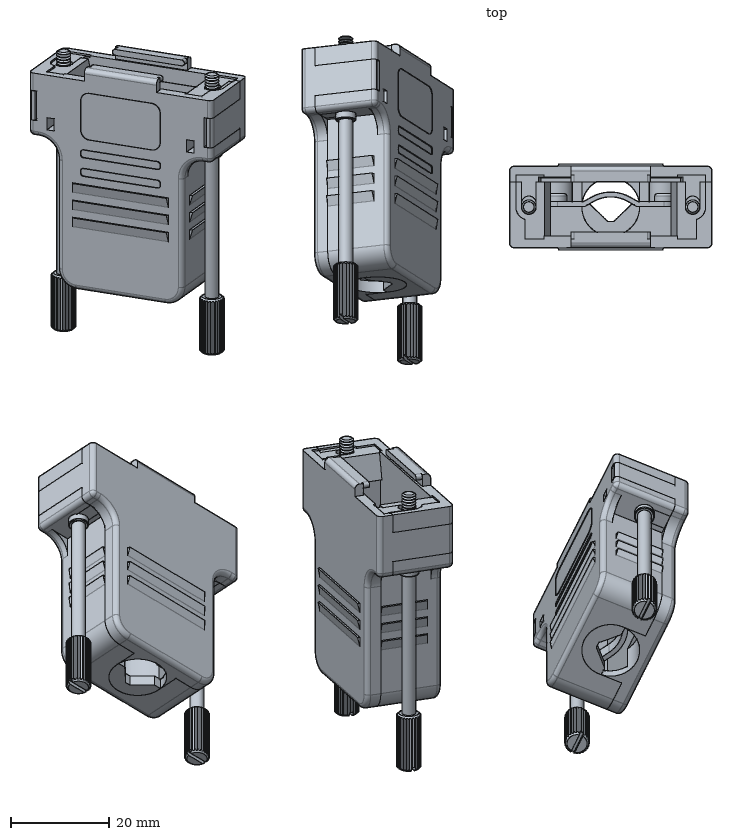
import cadquery as cq
import math


flange_width = 41.2
flange_half_width = flange_width / 2
body_width = 28.15
body_half_width = body_width / 2
half_depth = 8.35
flange_bottom = 31.85
mating_face = 45.4
bottom_corner_radius = 4.0
flange_corner_radius = 1.1
shoulder_radius = 4.4
edge_radius = 1.0

parting_y = 5.1
tab_bottom = 35.2
tab_top = 41.6
tab_thickness = 1.3
tab_front_y = -8.2
tab_relief = 0.5
tab_relief_depth = 1.2

wall_y = 5.95
side_wall = 1.0
floor_top = 2.4
mouth_half_width = 13.6
throat_half_width = 12.25
throat_z = 39.6
cover_ledge_z = 40.3
cover_step_z = 42.3
cover_step_depth = 0.1
cover_mouth_half_width = 14.75
cover_mouth_taper = 0.6

seat_depth = 0.35
seat_back_y = 6.55
seat_front_y = -6.5
seat_notch_x = 17.45
seat_screw_radius = 2.65

lip_top = 48
lip_half_width = 8.1
lip_inner_y = 6.5
hook_height = 1.25

label_half_width = 8.95
label_bottom = 32.8
label_top = 42.9
label_radius = 1.9
label_depth = 0.1
groove_height = 1.7
groove_radius = 0.6
groove_centers = (29.65, 25.6)
groove_depth = 0.25
window_width = 1.6
window_height = 2.65
window_x = 15.7
window_z = 34.9

rib_pitch = 3.7
rib_height = 2.05
rib_tops = [23.05 - rib_pitch * row for row in range(3)]
face_rib_half_length = 10.8
face_rib_rise = 0.45
side_rib_rise = 0.6
side_rib_front_y = -5.15
rib_end_slant = 0.25

jackscrew_x = 16.7
shaft_radius = 1.45
collar_radius = 2.05
collar_bottom = 30.4
collar_chamfer = 0.2
thread_core_radius = 1.1
thread_pitch = 0.6
thread_turns = 7
thread_length = thread_turns * thread_pitch
knob_radius = 2.5
knob_length = 12
knob_chamfer = 0.5
flute_count = 24
flute_radius = 0.2
driver_slot_width = 0.8
driver_slot_depth = 0.9
jackscrew_slot_radius = 1.5
jackscrew_slot_gap = 0.7

cable_radius = 5.9
clamp_y = 0.05
pedestal_top = 10.2
saddle_top_y = 0.55
notch_half_width = 4.2
notch_bottom_half_width = 0.6
notch_bottom_y = -2.95
strap_thickness = 1.0
strap_width = 3.85
strap_z = 8.1
arch_outer_radius = 8.0
arch_half_width = 3.9
arch_top_y = 3.05
clamp_screw_x = 10.85
head_radius = 1.9
head_height = 1.6
head_edge_radius = 0.5
clamp_thread_radius = 1.0
clamp_thread_length = 3.6
post_radius = 3.05
post_z = 3

SIDES = (-1, 1)


def block(x0, x1, y0, y1, z0, z1):
    """Box between two opposite corners."""
    box = cq.Workplane("XY").box(x1 - x0, y1 - y0, z1 - z0, centered=False)
    return box.translate((x0, y0, z0))


def prism_y(outline, y0, y1):
    """Extrude an XZ outline from y0 to y1."""
    return outline.extrude(-(y1 - y0)).translate((0, y0, 0))


def cylinder_y(x, z, radius, y0, y1):
    return prism_y(cq.Workplane("XZ").center(x, z).circle(radius), y0, y1)


def both_sides(shape):
    """A shape together with its mirror image across X = 0."""
    return shape.union(shape.mirror("YZ"))


def outer_block():
    """Solid T-shaped housing with rounded shoulders and face edges."""
    w = body_half_width
    f = flange_half_width
    shoulder_x = w + shoulder_radius
    shoulder_z = flange_bottom - shoulder_radius
    mid = shoulder_radius * math.sqrt(0.5)
    half = (
        cq.Workplane("XZ")
        .moveTo(0, 0)
        .lineTo(w - bottom_corner_radius, 0)
        .radiusArc((w, bottom_corner_radius), -bottom_corner_radius)
        .lineTo(w, shoulder_z)
        .threePointArc((shoulder_x - mid, shoulder_z + mid), (shoulder_x, flange_bottom))
        .lineTo(f - flange_corner_radius, flange_bottom)
        .radiusArc((f, flange_bottom + flange_corner_radius), -flange_corner_radius)
        .lineTo(f, mating_face)
        .lineTo(0, mating_face)
        .close()
    )
    solid = both_sides(prism_y(half, -half_depth, half_depth)).clean()
    return solid.faces("<Y or >Y").edges("not >Z").fillet(edge_radius)


def shoulder_clearance():
    """Space under the flange where the rounded shoulders are left out beside the jackscrews."""
    return both_sides(
        block(body_half_width, flange_half_width, -wall_y, parting_y, 0, flange_bottom)
    )


def cavity():
    """Tapered mouth, wider in the cover and stepped in its wall, over a straight-sided chamber."""
    mouth = (
        cq.Workplane("XZ")
        .polyline([
            (-throat_half_width, throat_z),
            (throat_half_width, throat_z),
            (mouth_half_width, mating_face),
            (-mouth_half_width, mating_face),
        ])
        .close()
    )
    mouth = prism_y(mouth, -wall_y, wall_y + cover_step_depth)
    cover_throat_x = cover_mouth_half_width - cover_mouth_taper
    cover_mouth = (
        cq.Workplane("XZ")
        .polyline([
            (-cover_throat_x, cover_ledge_z),
            (cover_throat_x, cover_ledge_z),
            (cover_mouth_half_width, mating_face),
            (-cover_mouth_half_width, mating_face),
        ])
        .close()
    )
    cover_mouth = prism_y(cover_mouth, parting_y, wall_y + cover_step_depth)
    below_ledge = block(
        -flange_half_width, flange_half_width, parting_y, half_depth, floor_top, cover_ledge_z
    )
    below_step = block(
        -flange_half_width, flange_half_width, wall_y, half_depth, floor_top, cover_step_z
    )
    x = body_half_width - side_wall
    chamber = block(-x, x, -wall_y, parting_y, floor_top, throat_z)
    return mouth.cut(below_ledge).union(cover_mouth).cut(below_step).union(chamber)


def clamp_pedestal():
    """Raised floor that carries the clamp, with a round post beyond the strap on each side."""
    x = body_half_width - side_wall
    pedestal = block(-x, x, -wall_y, clamp_y, floor_top, pedestal_top)
    post = cylinder_y(clamp_screw_x, post_z, post_radius, clamp_y, parting_y)
    inside = block(0, x, clamp_y, parting_y, floor_top, pedestal_top)
    return pedestal.union(both_sides(post.intersect(inside)))


def cable_outlet():
    return cq.Workplane("XY").circle(cable_radius).extrude(pedestal_top)


def flange_seat():
    """Shallow seat in the mating face, rounded around each jackscrew."""
    left = -jackscrew_x - seat_screw_radius
    seat = block(-seat_notch_x, 0, seat_front_y, seat_back_y, 0, seat_depth)
    seat = seat.union(block(left, 0, 0, seat_back_y, 0, seat_depth))
    around_screw = cq.Workplane("XY").center(-jackscrew_x, 0).circle(seat_screw_radius).extrude(seat_depth)
    seat = seat.union(around_screw)
    walls = block(
        -mouth_half_width, 0, -half_depth, -wall_y, 0, seat_depth
    ).union(block(-mouth_half_width, 0, wall_y, half_depth, 0, seat_depth))
    return both_sides(seat.cut(walls).translate((0, 0, mating_face - seat_depth)))


def hooked_lip():
    """Lip on the -Y wall with a rounded outer edge and an inward hook with round ends."""
    x = lip_half_width
    wall = block(-x, x, -half_depth, -lip_inner_y, mating_face - seat_depth, lip_top)
    wall = wall.edges("<Y and >Z").fillet(edge_radius)
    hook_z = lip_top - hook_height / 2
    hook = cq.Workplane("XZ").center(0, hook_z).slot2D(2 * x, hook_height)
    hook = prism_y(hook, -lip_inner_y, -parting_y)
    return wall.union(hook)


def rib_wedge(rise, half_length, top):
    """Wedge on the plane Y = 0 that rises toward -Y, with slanted ends."""
    profile = cq.Workplane("YZ").polyline([(0, top), (-rise, top), (0, top - rib_height)]).close()
    wedge = profile.extrude(half_length, both=True)
    outline = (
        cq.Workplane("XY")
        .polyline([
            (-half_length, 0),
            (half_length, 0),
            (half_length - rib_end_slant, -rise),
            (-half_length + rib_end_slant, -rise),
        ])
        .close()
        .extrude(mating_face)
    )
    return wedge.intersect(outline)


def grip_ribs():
    """Three ribs on each broad face and three on each narrow side of the base."""
    ribs = cq.Workplane("XY")
    side_length = parting_y - side_rib_front_y
    for top in rib_tops:
        front = rib_wedge(face_rib_rise, face_rib_half_length, top).translate((0, -half_depth, 0))
        side = rib_wedge(side_rib_rise, side_length, top).rotate((0, 0, 0), (0, 0, 1), -90)
        side = side.translate((-body_half_width, parting_y, 0))
        side = side.intersect(
            block(-flange_half_width, 0, -half_depth, parting_y, 0, mating_face)
        )
        ribs = ribs.union(front).union(front.mirror("XZ")).union(both_sides(side))
    return ribs


def face_recesses():
    """Label panel, two grooves and two windows cut into the -Y face."""
    def panel(z, height, radius, depth):
        plate = block(
            -label_half_width, label_half_width, -half_depth, -half_depth + depth,
            z - height / 2, z + height / 2,
        )
        return plate.edges("|Y").fillet(radius)

    cuts = panel((label_bottom + label_top) / 2, label_top - label_bottom, label_radius, label_depth)
    for z in groove_centers:
        cuts = cuts.union(panel(z, groove_height, groove_radius, groove_depth))
    window = block(
        window_x - window_width / 2, window_x + window_width / 2, -half_depth, 0,
        window_z - window_height / 2, window_z + window_height / 2,
    )
    return cuts.union(both_sides(window))


def jackscrew_slots():
    """U-shaped slots that open toward +Y and receive the jackscrews."""
    r = jackscrew_slot_radius
    slot = block(jackscrew_x - r, jackscrew_x + r, 0, parting_y, flange_bottom, mating_face)
    end = cq.Workplane("XY", origin=(jackscrew_x, 0, flange_bottom)).circle(r)
    return both_sides(slot.union(end.extrude(mating_face - flange_bottom)))


def thread_pockets():
    """Oblong openings that leave free space behind the threads."""
    r = jackscrew_slot_radius
    pocket = (
        cq.Workplane("XY", origin=(jackscrew_x, jackscrew_slot_gap / 2, lip_top - thread_length))
        .slot2D(2 * r + jackscrew_slot_gap, 2 * r, 90)
        .extrude(thread_length)
    )
    return both_sides(pocket)


def cover_tabs():
    """Latch tabs that wrap the narrow sides of the flange."""
    return both_sides(block(
        flange_half_width - tab_thickness, flange_half_width,
        -half_depth, parting_y, tab_bottom, tab_top,
    ))


def tab_end_reliefs():
    """Clearance in the base beside the free ends of the tabs."""
    inner_x = flange_half_width - tab_thickness
    return both_sides(block(
        inner_x - tab_relief, inner_x,
        -half_depth, -half_depth + tab_relief_depth, tab_bottom, tab_top,
    ))


def cover_space():
    """All the space that belongs to the cover: its slab, tabs, and tongues into the base."""
    slab = block(
        -flange_half_width, flange_half_width, parting_y, 2 * half_depth, 0, lip_top
    )
    outlet_tongue = block(-cable_radius, cable_radius, 0, parting_y, 0, floor_top)
    return slab.union(cover_tabs()).union(jackscrew_slots()).union(outlet_tongue)


def housing_shell():
    """Both housing halves in one piece, before they are parted."""
    lip = hooked_lip()
    return (
        outer_block()
        .cut(shoulder_clearance())
        .cut(cavity())
        .cut(flange_seat())
        .cut(thread_pockets())
        .cut(face_recesses())
        .union(clamp_pedestal())
        .union(lip)
        .union(lip.mirror("XZ"))
        .union(grip_ribs())
        .cut(cable_outlet())
    )


def jackscrew():
    """Threaded rod with a collar and a fluted, slotted knob, standing on X = 0."""
    shaft = cq.Workplane("XY").circle(shaft_radius).extrude(lip_top)
    collar = (
        cq.Workplane("XY", origin=(0, 0, collar_bottom))
        .circle(collar_radius)
        .extrude(flange_bottom - collar_bottom)
        .faces("<Z").chamfer(collar_chamfer)
    )
    knob = (
        cq.Workplane("XY", origin=(0, 0, -knob_length))
        .circle(knob_radius).extrude(knob_length)
        .faces("<Z or >Z").chamfer(knob_chamfer)
    )
    flutes = (
        cq.Workplane("XY", origin=(0, 0, -knob_length))
        .polarArray(knob_radius, 0, 360, flute_count)
        .circle(flute_radius)
        .extrude(knob_length)
    )
    driver_slot = block(
        -knob_radius, knob_radius, -driver_slot_width / 2, driver_slot_width / 2,
        -knob_length, -knob_length + driver_slot_depth,
    )
    screw = shaft.union(collar).union(knob.cut(flutes).cut(driver_slot))
    for turn in range(thread_turns):
        screw = screw.cut(thread_groove(lip_top - turn * thread_pitch))
    return screw


def thread_groove(root_z):
    """Ring-shaped V groove one pitch high, deepest at root_z."""
    half_pitch = thread_pitch / 2
    profile = (
        cq.Workplane("XZ")
        .polyline([
            (thread_core_radius, root_z),
            (shaft_radius, root_z - half_pitch),
            (shaft_radius, root_z + half_pitch),
        ])
        .close()
    )
    return profile.revolve(360, (0, 0, 0), (0, 1, 0))


def cable_saddle():
    """Lower part of a disc in the cable outlet, with a V notch that the cable rests in."""
    disc = cq.Workplane("XY").circle(cable_radius).extrude(floor_top)
    lower_part = block(
        -cable_radius, cable_radius, -cable_radius, saddle_top_y, 0, floor_top
    )
    notch = (
        cq.Workplane("XY")
        .polyline([
            (-notch_half_width, saddle_top_y),
            (-notch_bottom_half_width, notch_bottom_y),
            (notch_bottom_half_width, notch_bottom_y),
            (notch_half_width, saddle_top_y),
        ])
        .close()
        .extrude(floor_top)
    )
    return disc.intersect(lower_part).cut(notch)


def clamp_strap():
    """Flat strap with rounded ends, arched over the cable."""
    lower = clamp_y
    upper = clamp_y + strap_thickness
    end_x = clamp_screw_x + strap_width / 2
    center_y = arch_top_y - arch_outer_radius
    inner_radius = arch_outer_radius - strap_thickness
    angle = math.asin(arch_half_width / arch_outer_radius)
    outer_y = center_y + arch_outer_radius * math.cos(angle)
    inner_x = inner_radius * math.sin(angle)
    inner_y = center_y + inner_radius * math.cos(angle)
    upper_bend_x = arch_half_width + (outer_y - upper) / math.tan(angle)
    lower_bend_x = inner_x + (inner_y - lower) / math.tan(angle)
    band = (
        cq.Workplane("XY", origin=(0, 0, strap_z - strap_width / 2))
        .moveTo(-end_x, upper)
        .lineTo(-upper_bend_x, upper)
        .lineTo(-arch_half_width, outer_y)
        .threePointArc((0, arch_top_y), (arch_half_width, outer_y))
        .lineTo(upper_bend_x, upper)
        .lineTo(end_x, upper)
        .lineTo(end_x, lower)
        .lineTo(lower_bend_x, lower)
        .lineTo(inner_x, inner_y)
        .threePointArc((0, arch_top_y - strap_thickness), (-inner_x, inner_y))
        .lineTo(-lower_bend_x, lower)
        .lineTo(-end_x, lower)
        .close()
        .extrude(strap_width)
    )
    rounded = cq.Workplane("XZ").center(0, strap_z).slot2D(2 * end_x, strap_width)
    return band.intersect(prism_y(rounded, -half_depth, half_depth))


def clamp_screw(x):
    """Round-headed screw along Y whose head sits on the strap."""
    seat_y = clamp_y + strap_thickness
    head = cylinder_y(x, strap_z, head_radius, seat_y, seat_y + head_height)
    head = head.faces(">Y").edges().fillet(head_edge_radius)
    stem = cylinder_y(x, strap_z, clamp_thread_radius, seat_y - clamp_thread_length, seat_y)
    return head.union(stem)


jackscrews = [jackscrew().translate((side * jackscrew_x, 0, 0)) for side in SIDES]
clamp_screws = [clamp_screw(side * clamp_screw_x) for side in SIDES]
saddle = cable_saddle()
strap = clamp_strap()
for screw in clamp_screws:
    strap = strap.cut(screw)

shell = housing_shell()
for screw in jackscrews + clamp_screws:
    shell = shell.cut(screw)
tab_tips = block(
    -flange_half_width, flange_half_width, -half_depth, tab_front_y, tab_bottom, tab_top
)
cover = shell.intersect(cover_space().cut(tab_tips))
base = shell.cut(cover_space()).cut(tab_end_reliefs())

bodies = [base, cover, saddle, strap] + jackscrews + clamp_screws
result = cq.Compound.makeCompound([solid for body in bodies for solid in body.solids().vals()])